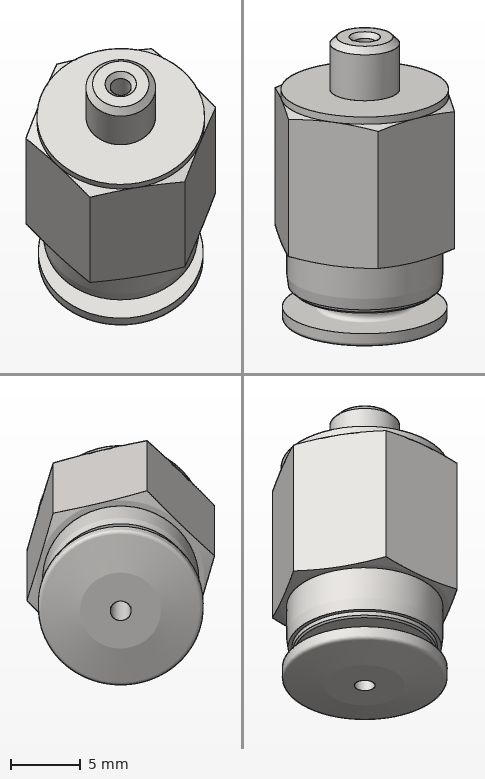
import cadquery as cq
import math

ring_edge_z = 0.5
ring_top_z = 1.47
body_bottom_z = 2.72
lip_top_z = 3.13
taper_top_z = 3.99
hex_bottom_z = 6.5
hex_top_z = 17.39
collar_top_z = 17.94
total_height = 21.9

hex_across_flats = 12.0
hex_across_corners = hex_across_flats / math.cos(math.radians(30))
hex_chamfer_angle = 15

ring_radius = 11.8 / 2
ring_flat_radius = 2.9
ring_edge_fillet = 0.26
neck_radius = 6.3 / 2
neck_fillet = 0.4
lip_radius = 10.3 / 2
lip_flare = 0.07
lip_chamfer = 0.13
body_radius = 11.2 / 2
taper_inset = 0.1
spigot_radius = 5.0 / 2
spigot_chamfer = 0.48

bore_radius = 1.5 / 2
countersink_radius = 1.12
countersink_depth = countersink_radius - bore_radius


def revolve_about_z(outline):
    """Turn a closed half outline, drawn as (radius, height), about the Z axis."""
    return outline.close().revolve(360, (0, 0, 0), (0, 1, 0))


def make_release_ring():
    """Shallow cone-bottomed flange with a neck that enters the body."""
    ring = revolve_about_z(
        cq.Workplane("XZ")
        .moveTo(0, 0)
        .lineTo(ring_flat_radius, 0)
        .lineTo(ring_radius, ring_edge_z)
        .lineTo(ring_radius, ring_top_z)
        .lineTo(neck_radius + neck_fillet, ring_top_z)
        .radiusArc((neck_radius, ring_top_z + neck_fillet), neck_fillet)
        .lineTo(neck_radius, body_bottom_z)
        .lineTo(0, body_bottom_z)
    )
    lower_rim = cq.selectors.BoxSelector(
        (-ring_radius - 0.22, -ring_radius - 0.22, ring_edge_z - 0.02),
        (ring_radius + 0.22, ring_radius + 0.22, ring_edge_z + 0.02),
        boundingbox=True,
    )
    return ring.edges(lower_rim).fillet(ring_edge_fillet)


def make_round_body():
    """Turned body: stepped lower end, core, collar and chamfered spigot."""
    return revolve_about_z(
        cq.Workplane("XZ")
        .moveTo(0, body_bottom_z)
        .lineTo(lip_radius - lip_chamfer, body_bottom_z)
        .lineTo(lip_radius, body_bottom_z + lip_chamfer)
        .lineTo(lip_radius + lip_flare, lip_top_z)
        .lineTo(body_radius - taper_inset, lip_top_z)
        .lineTo(body_radius, taper_top_z)
        .lineTo(body_radius, hex_top_z)
        .lineTo(hex_across_flats / 2, hex_top_z)
        .lineTo(hex_across_flats / 2, collar_top_z)
        .lineTo(spigot_radius, collar_top_z)
        .lineTo(spigot_radius, total_height - spigot_chamfer)
        .lineTo(spigot_radius - spigot_chamfer, total_height)
        .lineTo(0, total_height)
    )


def make_hexagon():
    """Hexagonal prism whose corners are turned off by a cone at each end."""
    prism = (
        cq.Workplane("XY", origin=(0, 0, hex_bottom_z))
        .polygon(6, hex_across_corners)
        .extrude(hex_top_z - hex_bottom_z)
    )
    flat_radius = hex_across_flats / 2
    corner_radius = hex_across_corners / 2
    corner_drop = (corner_radius - flat_radius) * math.tan(math.radians(hex_chamfer_angle))
    envelope = revolve_about_z(
        cq.Workplane("XZ")
        .moveTo(0, hex_bottom_z)
        .lineTo(flat_radius, hex_bottom_z)
        .lineTo(corner_radius, hex_bottom_z + corner_drop)
        .lineTo(corner_radius, hex_top_z - corner_drop)
        .lineTo(flat_radius, hex_top_z)
        .lineTo(0, hex_top_z)
    )
    return prism.intersect(envelope)


def make_bore():
    """Straight through bore with a countersink at the spigot end."""
    return revolve_about_z(
        cq.Workplane("XZ")
        .moveTo(0, 0)
        .lineTo(bore_radius, 0)
        .lineTo(bore_radius, total_height - countersink_depth)
        .lineTo(countersink_radius, total_height)
        .lineTo(0, total_height)
    )


result = make_round_body().union(make_hexagon()).union(make_release_ring()).cut(make_bore())